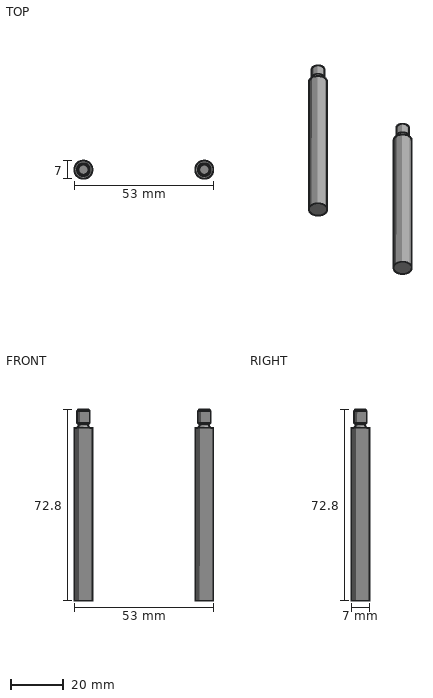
import cadquery as cq
import math

shank_radius = 7.0 / 2
overall_length = 72.8
pin_spacing = 46.0

tip_radius = 5.0 / 2
tip_length = 7.0
tip_chamfer = 0.6
shank_length = overall_length - tip_length

neck_radius = 3.7 / 2
neck_fillet = 1.0
groove_length = 2.0
groove_cone_height = tip_radius - neck_radius

neck_bottom = shank_length + neck_fillet
groove_top = shank_length + groove_length
neck_top = groove_top - groove_cone_height


def make_pin(x_position):
    """Revolve one pin about its own vertical axis."""
    fillet_center_radius = neck_radius + neck_fillet
    fillet_diagonal = neck_fillet * math.sqrt(0.5)
    profile = (
        cq.Workplane("XZ")
        .lineTo(shank_radius, 0)
        .lineTo(shank_radius, shank_length)
        .lineTo(fillet_center_radius, shank_length)
        .threePointArc(
            (fillet_center_radius - fillet_diagonal, neck_bottom - fillet_diagonal),
            (neck_radius, neck_bottom),
        )
        .lineTo(neck_radius, neck_top)
        .lineTo(tip_radius, groove_top)
        .lineTo(tip_radius, overall_length - tip_chamfer)
        .lineTo(tip_radius - tip_chamfer, overall_length)
        .lineTo(0, overall_length)
        .close()
    )
    pin = profile.revolve(360, (0, 0), (0, 1))
    return pin.translate((x_position, 0, 0))


pins = [make_pin(side * pin_spacing / 2) for side in (-1, 1)]

result = cq.Compound.makeCompound([pin.val() for pin in pins])